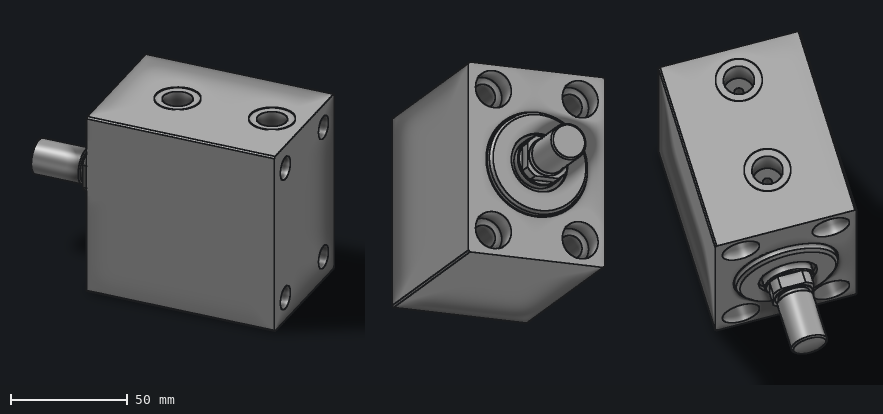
import cadquery as cq

total_length = 125.0
block_length = 88.0
block_width = 63.0
block_height = 85.0
block_chamfer = 0.8
block_front = total_length - block_length

bolt_spacing_y = 40.0
bolt_spacing_z = 63.0
bolt_diameter = 10.5
bolt_head_diameter = 16.5
bolt_head_depth = 11.0

port_front_offset = 28.6
port_spacing = 44.2
spotface_diameter = 20.0
spotface_depth = 0.4
port_diameter = 13.2
port_depth = 12.5
oilway_diameter = 4.0

gland_diameter = 45.2
gland_front = 33.9
gland_chamfer = 1.2
gland_seat_depth = 17.5
gland_seat_chamfer = 0.8

wiper_diameter = 26.0
wiper_recess = 2.0
wiper_length = 3.0

rod_diameter = 22.0
shoulder_taper_length = 0.6
rod_end_margin = 6.2
thread_diameter = 16.0
thread_length = 22.6
thread_chamfer = 0.8
undercut_diameter = 14.0
undercut_taper_length = 0.5
undercut_end = 24.8
flats_width = 18.0
flats_diameter = 21.0
flats_end = 31.0
flats_nose_diameter = 16.8
flats_nose_length = 0.4

gland_back = block_front + gland_seat_depth
wiper_front = gland_front + wiper_recess
wiper_back = wiper_front + wiper_length
port_positions = [block_front + port_front_offset + i * port_spacing for i in range(2)]
rod_back = port_positions[-1] + rod_end_margin
top_face = block_height / 2


def rod_cylinder(diameter, start, end):
    """Cylinder on the rod axis from X = start to X = end."""
    return cq.Workplane("YZ", origin=(start, 0, 0)).circle(diameter / 2).extrude(end - start)


def rod_cone(start_diameter, end_diameter, start, end):
    """Truncated cone on the rod axis."""
    profile = [
        (start, 0),
        (start, start_diameter / 2),
        (end, end_diameter / 2),
        (end, 0),
    ]
    return cq.Workplane("XY").polyline(profile).close().revolve(360, (0, 0, 0), (1, 0, 0))


def port_cut(x):
    """Spotface, bore and oilway of one port, down to the rod axis."""
    port = cq.Workplane("XY", origin=(x, 0, top_face))
    spotface = port.circle(spotface_diameter / 2).extrude(-spotface_depth)
    bore = port.circle(port_diameter / 2).extrude(-port_depth)
    oilway = port.circle(oilway_diameter / 2).extrude(-top_face)
    return spotface.union(bore).union(oilway)


def make_housing():
    """Cylinder block with bolt holes, gland seat, rod bore and ports."""
    block = (
        cq.Workplane("XY")
        .box(block_length, block_width, block_height)
        .translate((block_front + block_length / 2, 0, 0))
        .edges("|X")
        .chamfer(block_chamfer)
    )
    block = (
        block.faces("<X")
        .workplane(origin=(block_front, 0, 0))
        .rarray(bolt_spacing_y, bolt_spacing_z, 2, 2)
        .cboreHole(bolt_diameter, bolt_head_diameter, bolt_head_depth)
    )
    seat_mouth = rod_cone(
        gland_diameter + 2 * gland_seat_chamfer,
        gland_diameter,
        block_front,
        block_front + gland_seat_chamfer,
    )
    block = block.cut(rod_cylinder(gland_diameter, block_front, gland_back))
    block = block.cut(seat_mouth)
    block = block.cut(rod_cylinder(rod_diameter, gland_back, rod_back))
    for x in port_positions:
        block = block.cut(port_cut(x))
    return block


def make_gland():
    """Round gland with a chamfered front rim, bored for the rod and the wiper ring."""
    gland = rod_cylinder(gland_diameter, gland_front, gland_back)
    gland = gland.faces("<X").edges().chamfer(gland_chamfer)
    gland = gland.cut(rod_cylinder(rod_diameter, gland_front, gland_back))
    return gland.cut(rod_cylinder(wiper_diameter, gland_front, wiper_back))


def make_wiper():
    """Plain ring filling the gap between the rod and the gland behind its front recess."""
    ring = rod_cylinder(wiper_diameter, wiper_front, wiper_back)
    return ring.cut(rod_cylinder(rod_diameter, wiper_front, wiper_back))


def make_flats():
    """Square wrench section with rounded corners and a low round nose."""
    nose_end = undercut_end + flats_nose_length
    section = rod_cylinder(flats_diameter, nose_end, flats_end)
    square = cq.Workplane("YZ", origin=(nose_end, 0, 0)).rect(flats_width, flats_width)
    section = section.intersect(square.extrude(flats_end - nose_end))
    return section.union(rod_cylinder(flats_nose_diameter, undercut_end, nose_end))


def make_rod():
    """Rod with a plain round thread, undercut, wrench flats and tapered shoulder."""
    shoulder = flats_end + shoulder_taper_length
    tip = rod_cylinder(thread_diameter, 0, thread_length).faces("<X").edges().chamfer(thread_chamfer)
    rod = tip.union(rod_cylinder(undercut_diameter, thread_length, undercut_end))
    taper_end = thread_length + undercut_taper_length
    rod = rod.union(rod_cone(thread_diameter, undercut_diameter, thread_length, taper_end))
    rod = rod.union(make_flats())
    rod = rod.union(rod_cone(flats_diameter, rod_diameter, flats_end, shoulder))
    return rod.union(rod_cylinder(rod_diameter, shoulder, rod_back))


housing = make_housing()
gland = make_gland()
wiper = make_wiper()
rod = make_rod()

result = cq.Compound.makeCompound([housing.val(), gland.val(), wiper.val(), rod.val()])